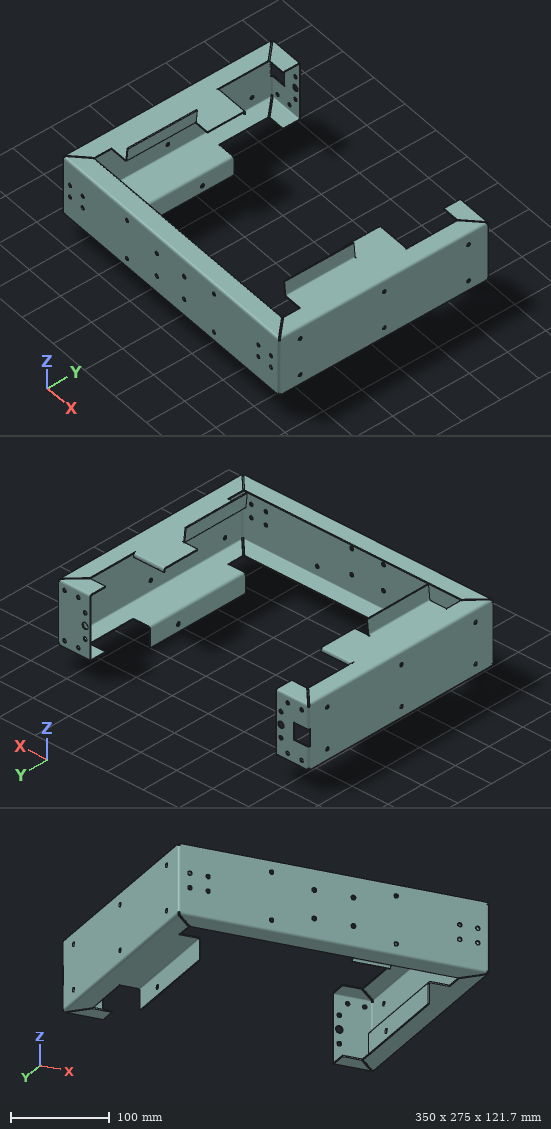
import cadquery as cq
import math

LENGTH = 350.0
DEPTH = 275.0
HEIGHT = 80.0
SHEET = 1.5
BEND_OUTER = 3.0
BEND_INNER = BEND_OUTER - SHEET
FLANGE = 23.0
REAR_TAB = 45.5
MITRE_GAP = 1.8
OVERLAP = 1.8

BRACKET_FRONT = -91.5
BRACKET_REAR = 49.5
PAD_REACH = 65.8
PAD_STEP = -0.7
LIP_BEND_START = 44.8
LIP_ANGLE = 84.0
LIP_RISE = 18.2
REAR_LIP_HEIGHT = 5.0
SKIRT_REACH = 47.2
SKIRT_DROP = 23.5

SMALL_HOLE = 4.5
MEDIUM_HOLE = 5.0
CABLE_HOLE = 8.0
DRILL_DEPTH = 2 * SHEET
FRONT_OUTER_X = 70.0
FRONT_OUTER_SPACING_Z = 53.2
FRONT_INNER_X = 22.0
FRONT_INNER_SPACING_Z = 31.5
FRONT_END_X = (141.5, 161.7)
FRONT_END_SPACING_Z = 16.0
SIDE_PITCH_Y = 110.0
SIDE_SPACING_Z = 50.5
SKIRT_HOLE_Y = 8.0
SKIRT_HOLE_Z = -54.2
TAB_COLUMN_X = 136.0
TAB_COLUMN_SPACING_Z = 31.5
TAB_ROW_X = (145.5, 165.0)
TAB_ROW_SPACING_Z = 60.5

WINDOW_SIZE = 21.0
WINDOW_INSET = 0.5

side_x = LENGTH / 2
wall_y = DEPTH / 2
top_z = HEIGHT / 2


def block(x_min, x_max, y_min, y_max, z_min, z_max):
    size = (x_max - x_min, y_max - y_min, z_max - z_min)
    return cq.Workplane("XY").box(*size, centered=False).translate((x_min, y_min, z_min))


def frame():
    """Channel frame: thin walls with inward flanges, open at the middle and rear."""
    outside = cq.Workplane("XY").box(LENGTH, DEPTH, HEIGHT).edges().fillet(BEND_OUTER)
    inside = (
        cq.Workplane("XY")
        .box(LENGTH - 2 * SHEET, DEPTH - 2 * SHEET, HEIGHT - 2 * SHEET)
        .edges().fillet(BEND_INNER)
    )
    middle = cq.Workplane("XY").box(LENGTH - 2 * FLANGE, DEPTH - 2 * FLANGE, HEIGHT)
    rear_x = side_x - REAR_TAB
    rear = block(-rear_x, rear_x, 0, wall_y, -top_z, top_z)
    return outside.cut(inside).cut(middle).cut(rear)


def mitre_slits():
    """Diagonal slits that part the flanges at each corner, above and below the walls."""
    slit_length = 2 * math.sqrt(2) * FLANGE
    slits = cq.Workplane("XY")
    for x_sign in (-1, 1):
        for y_sign in (-1, 1):
            for z_sign in (-1, 1):
                slit = (
                    cq.Workplane("XY")
                    .box(slit_length, MITRE_GAP, 2 * BEND_OUTER)
                    .rotate((0, 0, 0), (0, 0, 1), 45 * x_sign * y_sign)
                    .translate((x_sign * side_x, y_sign * wall_y, z_sign * top_z))
                )
                slits = slits.add(slit)
    return slits.combine()


def bent_sheet(start, bend_start, angle_degrees, height, width):
    """Sheet lying along +X that bends upwards and ends in a straight leg.

    Its lower face is at Z = 0, its highest edge at Z = height, and it runs from Y = 0 to -width.
    """
    angle = math.radians(angle_degrees)
    leg = (height - BEND_OUTER + BEND_INNER * math.cos(angle)) / math.sin(angle)

    def on_bend(radius, turn):
        return (bend_start + radius * math.sin(turn), BEND_OUTER - radius * math.cos(turn))

    def leg_end(radius):
        x, z = on_bend(radius, angle)
        return (x + leg * math.cos(angle), z + leg * math.sin(angle))

    return (
        cq.Workplane("XZ")
        .moveTo(start, 0)
        .lineTo(bend_start, 0)
        .threePointArc(on_bend(BEND_OUTER, angle / 2), on_bend(BEND_OUTER, angle))
        .lineTo(*leg_end(BEND_OUTER))
        .lineTo(*leg_end(BEND_INNER))
        .lineTo(*on_bend(BEND_INNER, angle))
        .threePointArc(on_bend(BEND_INNER, angle / 2), (bend_start, SHEET))
        .lineTo(start, SHEET)
        .close()
        .extrude(width)
    )


def left_top_bracket():
    """Pad with a short lip bent down at its rear and an upright lip along its front half."""
    flange_edge = FLANGE - OVERLAP
    upright = (
        bent_sheet(flange_edge, LIP_BEND_START, LIP_ANGLE, LIP_RISE + SHEET, PAD_STEP - BRACKET_FRONT)
        .translate((-side_x, PAD_STEP, top_z - SHEET))
    )
    pad_with_rear_lip = (
        bent_sheet(PAD_STEP, BRACKET_REAR - BEND_OUTER, 90, REAR_LIP_HEIGHT, PAD_REACH - FLANGE)
        .rotate((0, 0, 0), (0, 0, 1), 90)
        .mirror("XY")
        .translate((-side_x + FLANGE, 0, top_z))
    )
    root = block(
        -side_x + flange_edge, -side_x + FLANGE + OVERLAP,
        PAD_STEP - OVERLAP, BRACKET_REAR - BEND_OUTER,
        top_z - SHEET, top_z,
    )
    return upright.union(pad_with_rear_lip).union(root)


def left_bottom_bracket():
    """Shelf that bends down into a hanging skirt."""
    return (
        bent_sheet(FLANGE - OVERLAP, SKIRT_REACH - BEND_OUTER, 90,
                   SKIRT_DROP + SHEET, BRACKET_REAR - BRACKET_FRONT)
        .mirror("XY")
        .translate((-side_x, BRACKET_REAR, SHEET - top_z))
    )


def mirrored_grid(offsets, spacing_z):
    """Points at each offset to both sides of the centre, in two rows about Z = 0."""
    return [
        (side * offset, z_sign * spacing_z / 2)
        for offset in offsets
        for side in (-1, 1)
        for z_sign in (-1, 1)
    ]


def holes_along_y(points, diameter, wall_outside):
    """Drills through the front or rear wall whose outer face is at Y = wall_outside."""
    drill = cq.Workplane("XZ").pushPoints(points).circle(diameter / 2).extrude(DRILL_DEPTH, both=True)
    return drill.translate((0, wall_outside, 0))


def holes_along_x(points, diameter):
    """Drills across the whole part, at (Y, Z) points."""
    return cq.Workplane("YZ").pushPoints(points).circle(diameter / 2).extrude(LENGTH, both=True)


def rear_window():
    """Square opening through the left rear tab."""
    x_min = -side_x + WINDOW_INSET
    half = WINDOW_SIZE / 2
    return block(x_min, x_min + WINDOW_SIZE, wall_y - BEND_OUTER, wall_y, -half, half)


body = frame().cut(mitre_slits())
for bracket in (left_top_bracket(), left_bottom_bracket()):
    body = body.union(bracket).union(bracket.mirror("YZ"))

front_y = -wall_y
body = body.cut(holes_along_y(mirrored_grid([FRONT_OUTER_X], FRONT_OUTER_SPACING_Z), SMALL_HOLE, front_y))
body = body.cut(holes_along_y(mirrored_grid([FRONT_INNER_X], FRONT_INNER_SPACING_Z), MEDIUM_HOLE, front_y))
body = body.cut(holes_along_y(mirrored_grid(FRONT_END_X, FRONT_END_SPACING_Z), SMALL_HOLE, front_y))

body = body.cut(holes_along_y(mirrored_grid([TAB_COLUMN_X], TAB_COLUMN_SPACING_Z), MEDIUM_HOLE, wall_y))
body = body.cut(holes_along_y([(-TAB_COLUMN_X, 0), (TAB_COLUMN_X, 0)], CABLE_HOLE, wall_y))
body = body.cut(holes_along_y(mirrored_grid(TAB_ROW_X, TAB_ROW_SPACING_Z), SMALL_HOLE, wall_y))
body = body.cut(rear_window())

side_points = mirrored_grid([SIDE_PITCH_Y], SIDE_SPACING_Z)
side_points += [(0, SIDE_SPACING_Z / 2), (0, -SIDE_SPACING_Z / 2)]
body = body.cut(holes_along_x(side_points, SMALL_HOLE))
body = body.cut(holes_along_x([(SKIRT_HOLE_Y, SKIRT_HOLE_Z)], MEDIUM_HOLE))

result = body